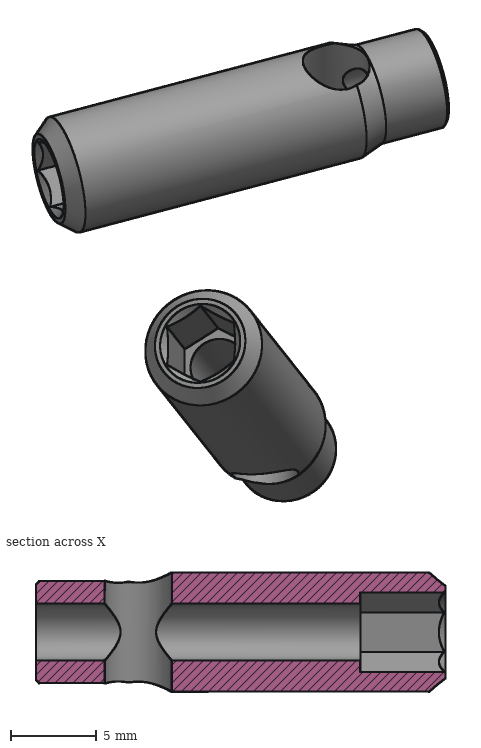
import cadquery as cq
import math

length = 24.0
body_radius = 3.5
neck_radius = 3.0
neck_length = 4.0
shoulder_length = 1.42
nose_length = 0.95
nose_radius = 2.7
tail_chamfer = 0.2

bore_diameter = 3.3
cross_hole_diameter = 3.9
cross_hole_from_tail = 6.0

hex_across_flats = 4.0
hex_depth = 5.0
socket_mouth_radius = 2.4

front_y = -length / 2
tail_y = length / 2
neck_start_y = tail_y - neck_length


def turned_body():
    """Revolve the stepped outer profile about the Y axis."""
    profile = [
        (0, front_y),
        (nose_radius, front_y),
        (body_radius, front_y + nose_length),
        (body_radius, neck_start_y - shoulder_length),
        (neck_radius, neck_start_y),
        (neck_radius, tail_y - tail_chamfer),
        (neck_radius - tail_chamfer, tail_y),
        (0, tail_y),
    ]
    return cq.Workplane("XY").polyline(profile).close().revolve(360, (0, 0, 0), (0, 1, 0))


def axial_bore():
    """Round bore through the full length."""
    return cq.Workplane("XZ", origin=(0, tail_y, 0)).circle(bore_diameter / 2).extrude(length)


def hex_socket():
    """Hexagonal socket in the front end, with two corners on the Z axis."""
    corner_diameter = hex_across_flats / math.cos(math.pi / 6)
    return (
        cq.Workplane("XZ", origin=(0, front_y + hex_depth, 0))
        .transformed(rotate=(0, 0, 90))
        .polygon(6, corner_diameter)
        .extrude(hex_depth)
    )


def socket_countersink():
    """45 degree lead-in cone at the socket mouth."""
    cone_profile = [
        (0, front_y),
        (socket_mouth_radius, front_y),
        (0, front_y + socket_mouth_radius),
    ]
    return cq.Workplane("XY").polyline(cone_profile).close().revolve(360, (0, 0, 0), (0, 1, 0))


def cross_hole():
    """Vertical hole through the pin at the shoulder."""
    return (
        cq.Workplane("XY", origin=(0, tail_y - cross_hole_from_tail, 0))
        .circle(cross_hole_diameter / 2)
        .extrude(body_radius, both=True)
    )


result = (
    turned_body()
    .cut(axial_bore())
    .cut(hex_socket())
    .cut(socket_countersink())
    .cut(cross_hole())
)